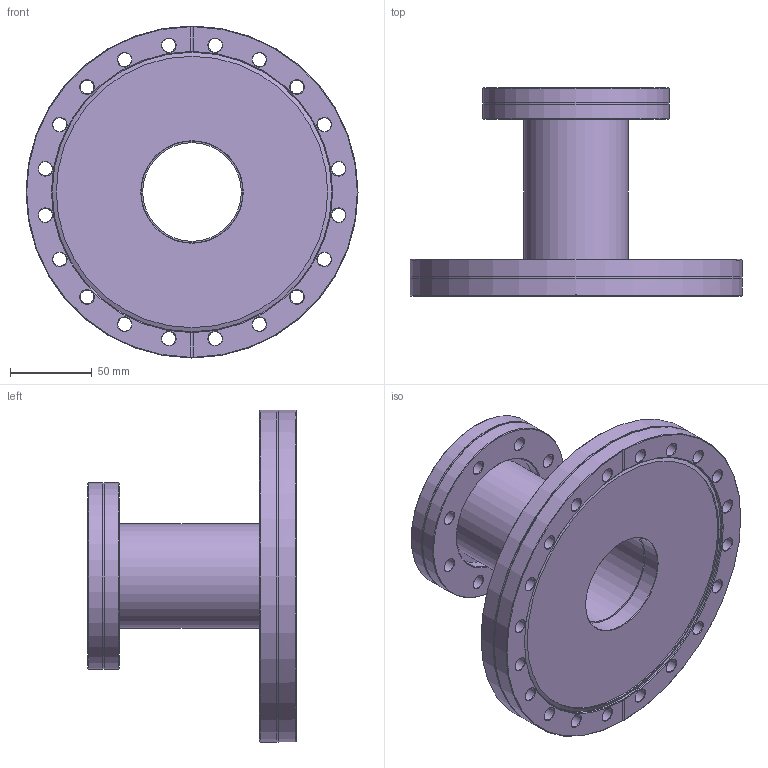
import cadquery as cq

OVERALL_LENGTH = 127.0

TUBE_DIAMETER = 63.5
TUBE_BORE = 60.2

LARGE_DIAMETER = 202.44
LARGE_THICKNESS = 22.35
LARGE_BOLT_COUNT = 20
LARGE_BOLT_CIRCLE = 181.0
LARGE_BORE = 62.0
LARGE_BORE_DEPTH = 12.7

SMALL_DIAMETER = 113.5
SMALL_THICKNESS = 19.2
SMALL_BOLT_COUNT = 8
SMALL_BOLT_CIRCLE = 92.2
CLEARANCE_DIAMETER = 72.39
CLEARANCE_DEPTH = 7.2
CLEARANCE_CHAMFER = 0.5

BOLT_HOLE_DIAMETER = 8.43
RIM_CHAMFER = 0.4
HOLE_CHAMFER = 0.25
RIM_GROOVE_WIDTH = 1.0
RIM_GROOVE_DEPTH = 0.2

SEAL_DIAMETER = 171.45
SEAL_DEPTH = 1.7
SEAL_CHAMFER = 0.5
KNIFE_TIP_DIAMETER = 165.5
KNIFE_TIP_DEPTH = 0.65
KNIFE_FLOOR_DEPTH = SEAL_DEPTH

LEAK_GROOVE_WIDTH = 1.8
LEAK_GROOVE_DEPTH = 0.6


def cylinder(diameter, y_start, length):
    """Solid cylinder on the Y axis from y_start towards +Y."""
    return cq.Workplane("XZ", origin=(0, y_start, 0)).circle(diameter / 2).extrude(-length)


def countersink(diameter, y_start, size=HOLE_CHAMFER):
    """Cone frustum that chamfers the mouth of a hole opening towards -Y at y_start."""
    hole_radius = diameter / 2
    axis_start = cq.Vector(0, y_start, 0)
    cone = cq.Solid.makeCone(hole_radius + size, hole_radius, size, axis_start, cq.Vector(0, 1, 0))
    return cq.Workplane(obj=cone)


def rim_groove(diameter, y_center):
    """Ring that cuts a shallow groove around a flange rim."""
    y_start = y_center - RIM_GROOVE_WIDTH / 2
    ring = cylinder(diameter, y_start, RIM_GROOVE_WIDTH)
    return ring.cut(cylinder(diameter - 2 * RIM_GROOVE_DEPTH, y_start, RIM_GROOVE_WIDTH))


def cut_bolt_holes(disc, count, circle_diameter, y_start, length):
    """Cut through holes with chamfered mouths on a bolt circle, half a pitch off the X axis."""
    hole = cylinder(BOLT_HOLE_DIAMETER, y_start, length).union(countersink(BOLT_HOLE_DIAMETER, y_start))
    hole = hole.translate((circle_diameter / 2, 0, 0))
    pitch = 360 / count
    for index in range(count):
        disc = disc.cut(hole.rotate((0, 0, 0), (0, 1, 0), (index + 0.5) * pitch))
    return disc


def flange(diameter, y_start, thickness, bolt_count, bolt_circle):
    """Chamfered disc with a rim groove at mid thickness and a ring of bolt holes."""
    disc = cylinder(diameter, y_start, thickness).edges().chamfer(RIM_CHAMFER)
    disc = disc.cut(rim_groove(diameter, y_start + thickness / 2))
    return cut_bolt_holes(disc, bolt_count, bolt_circle, y_start, thickness)


def knife_edge_recess():
    """Seal recess to cut from the large flange, leaving a ridge that slopes outwards."""
    mouth_radius = SEAL_DIAMETER / 2
    seal_radius = mouth_radius - SEAL_CHAMFER
    tip_radius = KNIFE_TIP_DIAMETER / 2
    profile = (
        cq.Workplane("XY")
        .moveTo(0, 0)
        .lineTo(mouth_radius, 0)
        .lineTo(seal_radius, SEAL_CHAMFER)
        .lineTo(seal_radius, SEAL_DEPTH)
        .lineTo(tip_radius, KNIFE_TIP_DEPTH)
        .lineTo(tip_radius, KNIFE_FLOOR_DEPTH)
        .lineTo(0, KNIFE_FLOOR_DEPTH)
        .close()
    )
    return profile.revolve(360, (0, 0, 0), (0, 1, 0))


def leak_grooves():
    """Shallow round-bottomed grooves running in Z from the seal recess to the rim."""
    groove = (
        cq.Workplane("XY")
        .moveTo(-LEAK_GROOVE_WIDTH / 2, 0)
        .threePointArc((0, LEAK_GROOVE_DEPTH), (LEAK_GROOVE_WIDTH / 2, 0))
        .close()
        .extrude(LARGE_DIAMETER / 2, both=True)
    )
    return groove.cut(cylinder(SEAL_DIAMETER, 0, LEAK_GROOVE_DEPTH))


large_flange = flange(LARGE_DIAMETER, 0, LARGE_THICKNESS, LARGE_BOLT_COUNT, LARGE_BOLT_CIRCLE)
large_flange = large_flange.cut(leak_grooves()).cut(knife_edge_recess())

small_flange_start = OVERALL_LENGTH - SMALL_THICKNESS
small_flange = flange(
    SMALL_DIAMETER, small_flange_start, SMALL_THICKNESS, SMALL_BOLT_COUNT, SMALL_BOLT_CIRCLE
)
small_flange = small_flange.cut(cylinder(CLEARANCE_DIAMETER, small_flange_start, CLEARANCE_DEPTH))
small_flange = small_flange.cut(
    countersink(CLEARANCE_DIAMETER, small_flange_start, CLEARANCE_CHAMFER)
)

tube_length = OVERALL_LENGTH - LARGE_THICKNESS
tube = cylinder(TUBE_DIAMETER, LARGE_THICKNESS, tube_length)

result = (
    large_flange.union(tube)
    .union(small_flange)
    .cut(cylinder(TUBE_BORE, 0, OVERALL_LENGTH))
    .cut(cylinder(LARGE_BORE, 0, LARGE_BORE_DEPTH))
    .cut(countersink(LARGE_BORE, KNIFE_FLOOR_DEPTH))
)